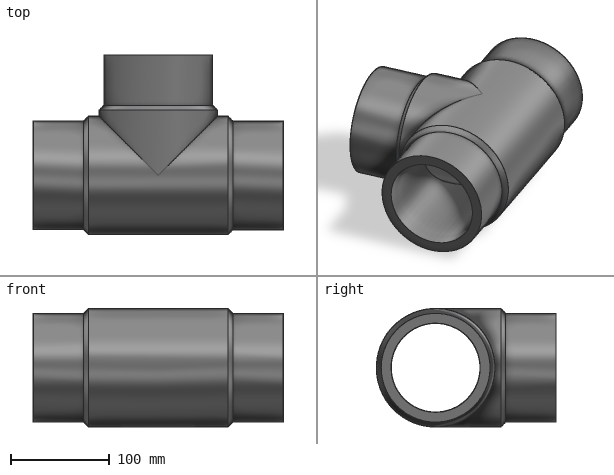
import cadquery as cq

run_length = 253.0
body_diameter = 120.0
spigot_diameter = 110.0
bore_diameter = 89.8
spigot_length = 51.0
overall_width = 182.0

body_radius = body_diameter / 2
spigot_radius = spigot_diameter / 2
bore_radius = bore_diameter / 2
shoulder = body_radius - spigot_radius
branch_reach = overall_width - body_radius


def stepped_arm(reach):
    """Solid arm along +Y from the tee center, with a bevel down to its spigot."""
    bevel_end = reach - spigot_length
    return (
        cq.Workplane("XY")
        .moveTo(0, 0)
        .lineTo(body_radius, 0)
        .lineTo(body_radius, bevel_end - shoulder)
        .lineTo(spigot_radius, bevel_end)
        .lineTo(spigot_radius, reach)
        .lineTo(0, reach)
        .close()
        .revolve(360, (0, 0, 0), (0, 1, 0))
    )


def bore_arm(reach):
    """Bore along +Y from the tee center to the arm's end face."""
    return cq.Workplane("XZ").circle(bore_radius).extrude(-reach)


def tee(arm):
    """Join two opposite run arms and the branch arm."""
    run_arm = arm(run_length / 2)
    joined = arm(branch_reach)
    for angle in (-90, 90):
        joined = joined.union(run_arm.rotate((0, 0, 0), (0, 0, 1), angle))
    return joined


result = tee(stepped_arm).cut(tee(bore_arm)).clean()